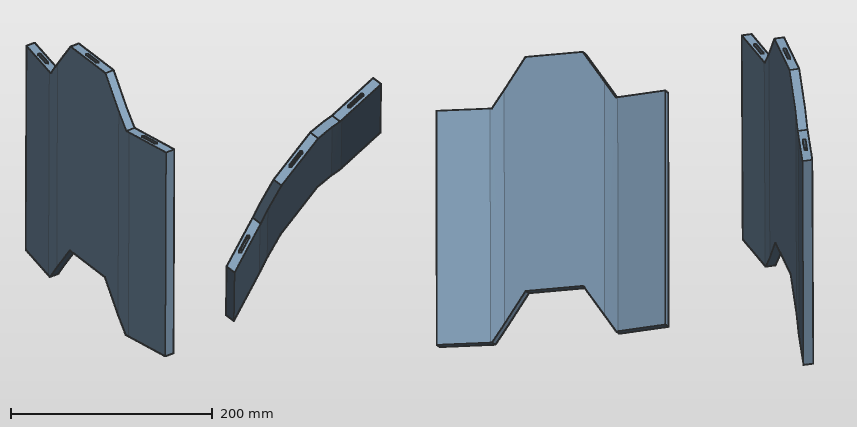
import math

import cadquery as cq

width = 240.0
thickness = 10.0
panel_height = 240.0
tongue_rise = 50.0
tongue_half_width = 30.0
tongue_root_half = 65.0
lean_angle = 0.225

wing_angle = 9.69
bend_start = 52.6
bend_radius = 95.0

slot_length = 20.0
slot_width = 3.0
slot_depth = 10.0
wing_slot_x = 91.3

half_width = width / 2
total_height = panel_height + tongue_rise
inner_radius = bend_radius - thickness
wing_rad = math.radians(wing_angle)
lean_per_height = math.tan(math.radians(lean_angle))


def bend_point(radius, angle):
    """Point on the right-hand bend at a given angle from the flat middle."""
    x = bend_start + radius * math.sin(angle)
    y = bend_radius - radius * math.cos(angle)
    return x, y


def wing_end(radius):
    """Point where a wing surface reaches the vertical side of the plate."""
    x, y = bend_point(radius, wing_rad)
    return half_width, y + (half_width - x) * math.tan(wing_rad)


def mirrored(point):
    """Matching point on the left half of the plate."""
    return -point[0], point[1]


def bent_plate():
    """Constant bent cross-section drawn upward along the leaning direction."""
    bend_angles = (0, wing_rad / 2, wing_rad)
    front_start, front_mid, front_finish = [bend_point(bend_radius, angle) for angle in bend_angles]
    back_start, back_mid, back_finish = [bend_point(inner_radius, angle) for angle in bend_angles]
    front_end = wing_end(bend_radius)
    back_end = wing_end(inner_radius)
    section = (
        cq.Workplane("XY")
        .moveTo(*mirrored(front_start))
        .lineTo(*front_start)
        .threePointArc(front_mid, front_finish)
        .lineTo(*front_end)
        .lineTo(*back_end)
        .lineTo(*back_finish)
        .threePointArc(back_mid, back_start)
        .lineTo(*mirrored(back_start))
        .threePointArc(mirrored(back_mid), mirrored(back_finish))
        .lineTo(*mirrored(back_end))
        .lineTo(*mirrored(front_end))
        .lineTo(*mirrored(front_finish))
        .threePointArc(mirrored(front_mid), mirrored(front_start))
        .close()
    )
    direction = cq.Vector(0, total_height * lean_per_height, total_height)
    return cq.Workplane(cq.Solid.extrudeLinear(section.val(), [], direction))


def edge_profile(base):
    """Stepped edge, left to right, with the wings at height base."""
    return [
        (-half_width, base),
        (-tongue_root_half, base),
        (-tongue_half_width, base + tongue_rise),
        (tongue_half_width, base + tongue_rise),
        (tongue_root_half, base),
        (half_width, base),
    ]


def outline():
    """Tongue on top and matching notch below, as a prism deeper than the plate."""
    points = edge_profile(0) + edge_profile(panel_height)[::-1]
    return cq.Workplane("XZ").polyline(points).close().extrude(width, both=True)


def slot(x, y, top, angle):
    """Blind slot at plan position x, y (taken at the base), sunk from height top."""
    return (
        cq.Workplane("XY", origin=(x, y + top * lean_per_height, top))
        .slot2D(slot_length, slot_width, angle)
        .extrude(-slot_depth)
    )


tongue_slot_y = thickness / 2
middle_x, middle_y = bend_point(bend_radius - thickness / 2, wing_rad)
wing_slot_y = middle_y + (wing_slot_x - middle_x) * math.tan(wing_rad)

result = bent_plate().intersect(outline())
result = result.cut(slot(0, tongue_slot_y, total_height, 0))
for side in (-1, 1):
    result = result.cut(slot(side * wing_slot_x, wing_slot_y, panel_height, side * wing_angle))